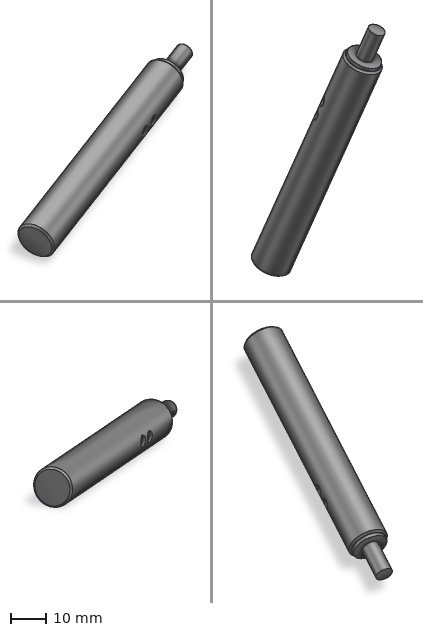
import cadquery as cq

body_diameter = 12.0
body_length = 76.0
body_chamfer = 0.6

collar_diameter = 10.4
collar_length = 1.0

cable_diameter = 5.1
cable_length = 10.0

recess_diameter = 3.5
recess_depth = 1.0
recess_spacing = 5.0
first_recess_y = 53.5
recess_count = 2


def make_cylinder(diameter, length, start_y):
    """Solid cylinder along +Y that starts at start_y."""
    return cq.Workplane("XZ", origin=(0, start_y, 0)).circle(diameter / 2).extrude(-length)


def make_body():
    """Main barrel, chamfered at both ends."""
    return make_cylinder(body_diameter, body_length, 0).faces("<Y or >Y").chamfer(body_chamfer)


def make_recess_cutter(y):
    """Cylinder along X that sinks one flat-bottomed recess into the +X side."""
    floor_x = body_diameter / 2 - recess_depth
    return (
        cq.Workplane("YZ", origin=(floor_x, y, 0))
        .circle(recess_diameter / 2)
        .extrude(recess_depth)
    )


collar = make_cylinder(collar_diameter, collar_length, body_length)
cable = make_cylinder(cable_diameter, cable_length, body_length + collar_length)
result = make_body().union(collar).union(cable)

for index in range(recess_count):
    result = result.cut(make_recess_cutter(first_recess_y + index * recess_spacing))